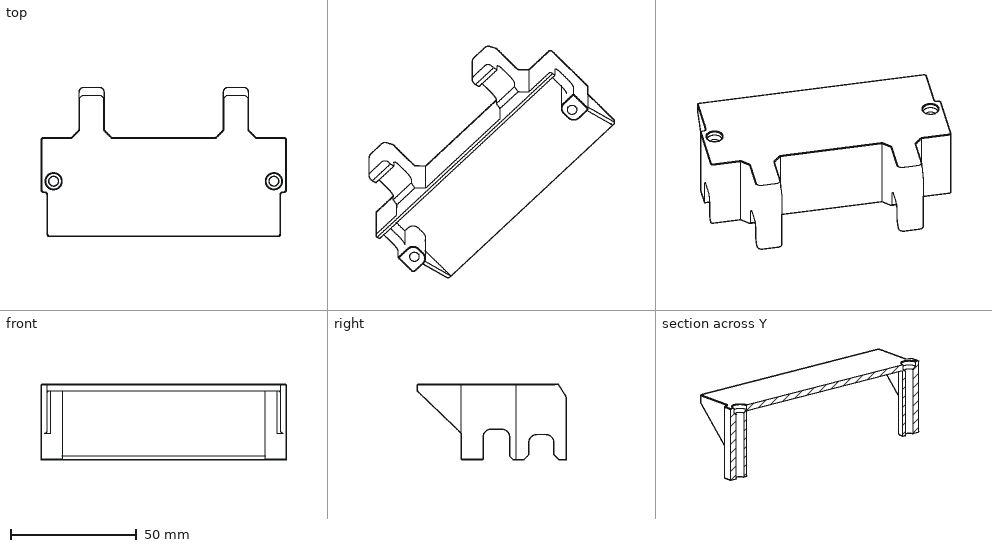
import cadquery as cq

length = 97.5
height = 30.0
plate_thickness = 2.6
plate_depth = 39.4
edge_chamfer = 0.3
corner_radius = 1.0

side_depth = 21.8
side_wall = 3.8
post_width = 8.5
post_depth = 8.8
post_round = 3.0
back_wall = 2.6
back_wall_chamfer = 1.5
step_inset = 2.3

arm_length = 20.0
arm_width = 10.0
arm_centre = 28.7
arm_round = 1.95
arm_slope_round = 3.0
arm_root_round = 1.0
arm_flare = 3.0
arm_slope_run = 3.2
arm_slope_drop = 5.1

rib_thickness = 1.5
rib_drop = 19.5

notch_round = 3.0
arm_notch_back = 14.9
arm_notch_front = 5.1
arm_notch_height = 9.9
arm_notch_chamfer = 2.0
side_notch_height = 12.1

hole_inset = 5.0
hole_y = -17.4
hole_diameter = 3.8
head_diameter = 6.2
head_depth = 1.9
cone_depth = (head_diameter - hole_diameter) / 2

half_length = length / 2
side_notch_front = post_depth - side_depth
front_half_length = half_length - step_inset
front_y = -plate_depth
side_front_y = -side_depth


def box(x0, x1, y0, y1, z0, z1):
    """Block between the given limits along each axis."""
    return cq.Workplane("XY").box(x1 - x0, y1 - y0, z1 - z0, centered=False).translate((x0, y0, z0))


def side_prism(points, x0, x1):
    """Extrude a (Y, Z) outline from x0 to x1."""
    return cq.Workplane("YZ", origin=(x0, 0, 0)).polyline(points).close().extrude(x1 - x0)


def body_block():
    """Full-height block with the stepped outline of the plate, corners rounded."""
    main = box(-half_length, half_length, side_front_y, 0, 0, height)
    front = box(-front_half_length, front_half_length, front_y, side_front_y, 0, height)
    return main.union(front).edges("|Z").fillet(corner_radius)


def post(side):
    """Screw post in a front corner of the side wall, rounded towards the inside."""
    block = cq.Workplane("XY").box(post_width, post_depth, height, centered=False)
    block = block.edges("|Z and >X").fillet(post_round)
    block = block.translate((-half_length, side_front_y, 0))
    return block if side < 0 else block.mirror("YZ")


def cavity():
    """Space inside the walls and around the posts, open to the front and below."""
    under_plate = height - plate_thickness
    inner_x = half_length - side_wall
    room = box(-inner_x, inner_x, side_front_y, -back_wall, 0, under_plate)
    rib_inner = front_half_length - rib_thickness
    ahead = box(-rib_inner, rib_inner, front_y, side_front_y, 0, under_plate)
    return room.union(ahead).cut(post(-1)).cut(post(1))


def rib_slope():
    """Wedge below the ribs and the overhanging plate."""
    points = [
        (front_y, height - plate_thickness),
        (side_front_y, height - rib_drop),
        (side_front_y, 0),
        (front_y, 0),
    ]
    return side_prism(points, -half_length, half_length)


def arm_blank(centre):
    """Square-ended arm with a flared root at the plate."""
    half = arm_width / 2
    outline = [
        (centre - half - arm_flare, 0),
        (centre - half, arm_flare),
        (centre - half, arm_length),
        (centre + half, arm_length),
        (centre + half, arm_flare),
        (centre + half + arm_flare, 0),
    ]
    root = box(centre - half, centre + half, -back_wall, 0, 0, height)
    blank = cq.Workplane("XY").polyline(outline).close().extrude(height)
    for corner_x in (centre - half, centre + half):
        corner = cq.selectors.NearestToPointSelector((corner_x, arm_flare, height / 2))
        blank = blank.edges("|Z").edges(corner).fillet(arm_root_round)
    return blank.union(root)


def arm_end_trim(centre):
    """Material removed to give the arm its sloped, rounded end."""
    start = arm_length - arm_slope_run - 2 * arm_round
    outline = [
        (start, 0),
        (arm_length, 0),
        (arm_length, height - arm_slope_drop),
        (arm_length - arm_slope_run, height),
        (start, height),
    ]
    left = centre - arm_width / 2
    right = centre + arm_width / 2
    end = side_prism(outline, left, right)
    slope_foot = cq.selectors.NearestToPointSelector((centre, arm_length, height - arm_slope_drop))
    end = end.edges(slope_foot).fillet(arm_slope_round)
    end = end.faces(">Y").edges("|Z").fillet(arm_round)
    return box(left, right, start, arm_length, 0, height).cut(end)


def arm_notch():
    """Arched notch across both arms, its mouth widened by chamfers."""
    notch = box(-half_length, half_length, arm_notch_front, arm_notch_back, 0, arm_notch_height)
    notch = notch.edges("|X and >Z").fillet(notch_round)
    mouth = [
        (arm_notch_front - arm_notch_chamfer, 0),
        (arm_notch_front, arm_notch_chamfer),
        (arm_notch_back, arm_notch_chamfer),
        (arm_notch_back + arm_notch_chamfer, 0),
    ]
    return notch.union(side_prism(mouth, -half_length, half_length))


def side_notch():
    """Arched notch across both side walls; its mouth also bevels the foot of the back wall."""
    back_y = -back_wall
    notch = box(-half_length, half_length, side_notch_front, back_y, 0, side_notch_height)
    notch = notch.edges("|X and >Z").fillet(notch_round)
    mouth = [
        (back_y - back_wall_chamfer, 0),
        (back_y - back_wall_chamfer, back_wall_chamfer),
        (back_y, back_wall_chamfer),
        (back_y + back_wall_chamfer, 0),
    ]
    return notch.union(side_prism(mouth, -half_length, half_length))


def screw_hole(x):
    """Through hole with a cylindrical head recess and a 45 degree seat, as a turned profile."""
    hole_radius = hole_diameter / 2
    head_radius = head_diameter / 2
    seat_z = height - head_depth
    profile = [
        (0, 0),
        (hole_radius, 0),
        (hole_radius, seat_z - cone_depth),
        (head_radius, seat_z),
        (head_radius, height - edge_chamfer),
        (head_radius + edge_chamfer, height),
        (0, height),
    ]
    turned = cq.Workplane("XZ").polyline(profile).close().revolve(360, (0, 0, 0), (0, 1, 0))
    return turned.translate((x, hole_y, 0))


result = body_block()
for side in (-1, 1):
    result = result.union(arm_blank(side * arm_centre))
result = result.faces(">Z").chamfer(edge_chamfer)
for side in (-1, 1):
    result = result.cut(arm_end_trim(side * arm_centre))
result = result.cut(cavity()).cut(rib_slope()).cut(arm_notch()).cut(side_notch())
for side in (-1, 1):
    foot_centre = (side * (half_length - post_width / 2), side_front_y + post_depth / 2, 0)
    post_foot = cq.selectors.NearestToPointSelector(foot_centre)
    result = result.faces("<Z").faces(post_foot).chamfer(edge_chamfer)
    result = result.cut(screw_hole(side * (half_length - hole_inset)))